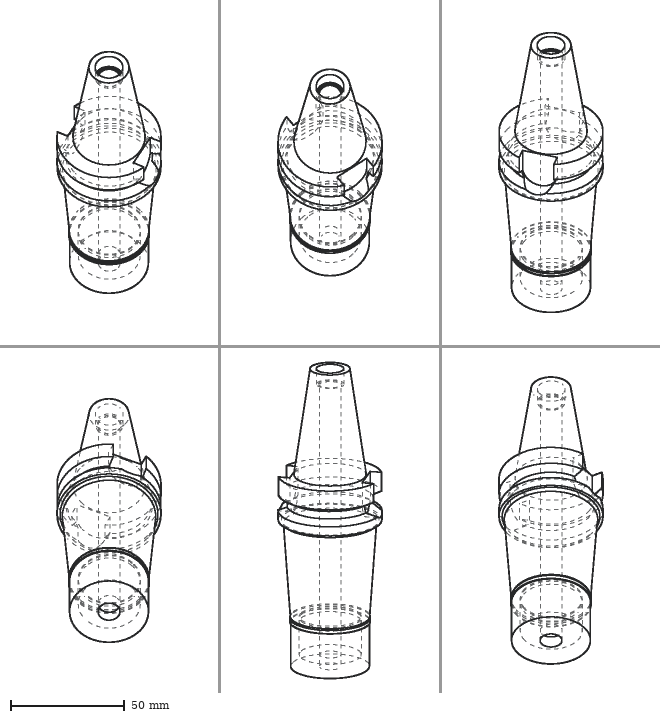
import cadquery as cq

total_height = 138.4

taper_length = 48.5
gauge_radius = 15.9
taper_ratio = 7 / 24
taper_tip_radius = gauge_radius - taper_length * taper_ratio / 2
gauge_height = total_height - taper_length

flange_radius = 23.0
flange_top = 89.1
upper_rim_bottom = 80.4
groove_radius = 19.1
groove_top = 78.3
groove_bottom = 74.9
lower_rim_top = 72.5
lower_rim_bottom = 68.2
shoulder_radius = 21.6
shoulder_bottom = 66.7

body_top_radius = 20.6
body_bottom_radius = 17.6
body_bottom = 23.3

slot_width = 16.0
slot_floor_distance = 16.3
slot_bottom = 71.1

ring_radius = 17.9
ring_top = 22.5
ring_bottom = 20.9
nut_radius = 17.5
spigot_radius = 13.7
spigot_bottom = 5.5

bore_radius = 4.8
bore_chamfer = 0.4
pilot_radius = 6.1
pilot_depth = 7.0
pilot_floor = total_height - pilot_depth


def revolve_profile(points):
    """Revolve (radius, height) points about the Z axis."""
    return cq.Workplane("XZ").polyline(points).close().revolve(360, (0, 0), (0, 1))


def drive_slot(side):
    """Cutter for one drive slot; side is +1 for +X and -1 for -X."""
    slot_radius = slot_width / 2
    arc_height = slot_bottom + slot_radius
    return (
        cq.Workplane("YZ", origin=(side * slot_floor_distance, 0, 0))
        .moveTo(-slot_radius, flange_top)
        .lineTo(-slot_radius, arc_height)
        .threePointArc((0, slot_bottom), (slot_radius, arc_height))
        .lineTo(slot_radius, flange_top)
        .close()
        .extrude(side * flange_radius)
    )


def make_holder():
    """Tool holder: taper, grooved flange, conical body, spigot and stepped bore."""
    holder = revolve_profile([
        (bore_radius, spigot_bottom),
        (spigot_radius, spigot_bottom),
        (spigot_radius, body_bottom),
        (body_bottom_radius, body_bottom),
        (body_top_radius, shoulder_bottom),
        (shoulder_radius, lower_rim_bottom),
        (flange_radius, lower_rim_bottom),
        (flange_radius, lower_rim_top),
        (groove_radius, groove_bottom),
        (groove_radius, groove_top),
        (flange_radius, upper_rim_bottom),
        (flange_radius, flange_top),
        (gauge_radius, flange_top),
        (gauge_radius, gauge_height),
        (taper_tip_radius, total_height),
        (pilot_radius, total_height),
        (pilot_radius, pilot_floor),
        (bore_radius + bore_chamfer, pilot_floor),
        (bore_radius, pilot_floor - bore_chamfer),
    ])
    for side in (-1, 1):
        holder = holder.cut(drive_slot(side))
    return holder


def make_ring():
    """Thin ring around the spigot, resting on the nut."""
    return revolve_profile([
        (spigot_radius, ring_bottom),
        (ring_radius, ring_bottom),
        (ring_radius, ring_top),
        (spigot_radius, ring_top),
    ])


def make_nut():
    """Cap nut around the spigot, its end wall pierced by the bore."""
    return revolve_profile([
        (bore_radius, 0),
        (nut_radius, 0),
        (nut_radius, ring_bottom),
        (spigot_radius, ring_bottom),
        (spigot_radius, spigot_bottom),
        (bore_radius, spigot_bottom),
    ])


holder = make_holder()
ring = make_ring()
nut = make_nut()

result = cq.Compound.makeCompound([holder.val(), ring.val(), nut.val()])